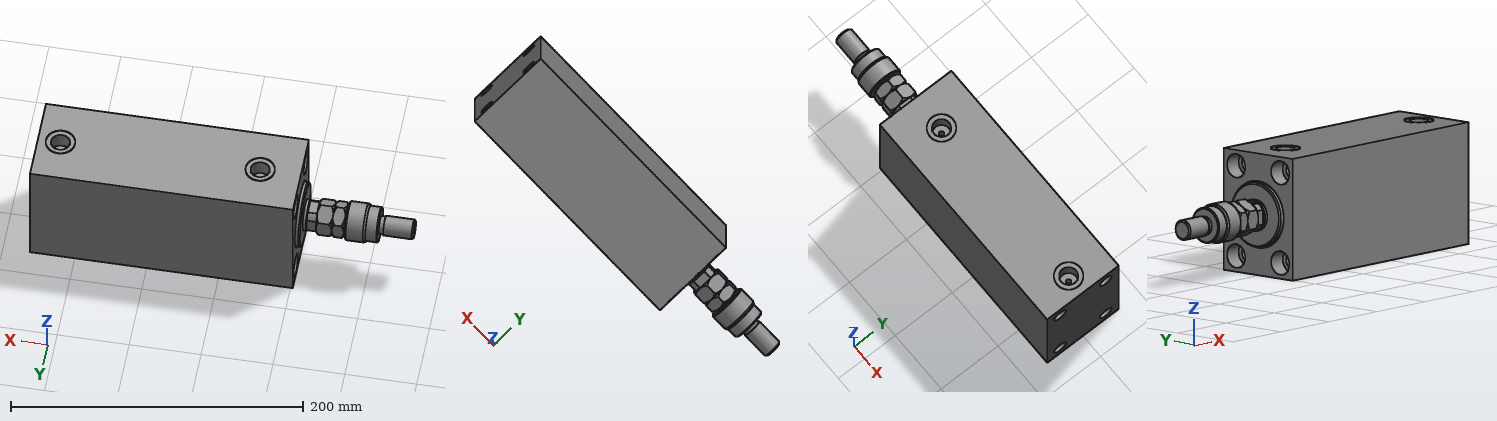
import cadquery as cq
import math


TOTAL_LENGTH = 262.0
BLOCK_FRONT = 79.0
BLOCK_WIDTH = 63.0
BLOCK_HEIGHT = 85.0

BOLT_PITCH_Y = 40.0
BOLT_PITCH_Z = 63.0
BOLT_HOLE_DIAMETER = 10.5
BOLT_HEAD_DIAMETER = 16.5
BOLT_HEAD_DEPTH = 12.0

PORT_FRONT_X = 107.5
PORT_REAR_X = 246.3
PORT_DIAMETER = 13.0
PORT_DEPTH = 12.0
PORT_SEAT_DIAMETER = 20.2
PORT_SEAT_DEPTH = 0.5
PORT_PASSAGE_DIAMETER = 4.0
PORT_PASSAGE_DEPTH = 7.9

GLAND_FRONT = 76.0
GLAND_DIAMETER = 45.0
GLAND_CHAMFER = 1.0
GLAND_SEAT_DEPTH = 7.9
GLAND_SEAT_CHAMFER = 0.8

ROD_DIAMETER = 22.0
ROD_TIP_DIAMETER = 21.0
ROD_SHOULDER = 73.4
ROD_CHAMFER = 0.5
ROD_ACROSS_FLATS = 18.3

HEX_ACROSS_FLATS = 22.0
THREAD_DIAMETER = 14.0
THREAD_GRIP_IN_ROD = 10.5
JOINT_HEX_FRONT = 47.5
JOINT_HEX_THICKNESS = 8.5
LOCK_NUT_THICKNESS = 11.0

STUD_CHAMFER = 1.0
STUD_LENGTH = 20.7
NECK_DIAMETER = 12.5
COLLAR_FRONT = 23.8
COLLAR_DIAMETER = 24.5
COLLAR_CHAMFER = 0.8
CASING_FRONT = 32.2
CASING_BACK = 46.5
CASING_DIAMETER = 27.2
CASING_FRONT_CHAMFER_LENGTH = 1.5
CASING_CHAMFER = 0.8

BLOCK_LENGTH = TOTAL_LENGTH - BLOCK_FRONT
BLOCK_TOP = BLOCK_HEIGHT / 2
GLAND_BACK = BLOCK_FRONT + GLAND_SEAT_DEPTH
LOCK_NUT_FRONT = JOINT_HEX_FRONT + JOINT_HEX_THICKNESS
ROD_FRONT = LOCK_NUT_FRONT + LOCK_NUT_THICKNESS
THREAD_END = ROD_FRONT + THREAD_GRIP_IN_ROD


def cylinder_x(start, end, diameter):
    """Cylinder on the X axis from x = start to x = end."""
    return cq.Workplane("YZ", origin=(start, 0, 0)).circle(diameter / 2).extrude(end - start)


def revolve_x(profile):
    """Solid of revolution about X from a closed profile of (x, radius) points."""
    return cq.Workplane("XY").polyline(profile).close().revolve(360, (0, 0, 0), (1, 0, 0))


def cylinder_down(x, top, depth, diameter):
    """Vertical cylinder at y = 0 that runs down from z = top."""
    return cq.Workplane("XY", origin=(x, 0, top)).circle(diameter / 2).extrude(-depth)


def hexagon_x(start, thickness):
    """Hexagonal prism on the X axis, corners at +Z and -Z, 45 degree cone chamfers at both ends."""
    corner_radius = HEX_ACROSS_FLATS / math.sqrt(3)
    face_radius = HEX_ACROSS_FLATS / 2
    chamfer_length = corner_radius - face_radius
    end = start + thickness
    corners = [
        (corner_radius * math.sin(math.radians(angle)), corner_radius * math.cos(math.radians(angle)))
        for angle in range(0, 360, 60)
    ]
    prism = cq.Workplane("YZ", origin=(start, 0, 0)).polyline(corners).close().extrude(thickness)
    envelope = revolve_x(
        [
            (start, 0),
            (start, face_radius),
            (start + chamfer_length, corner_radius),
            (end - chamfer_length, corner_radius),
            (end, face_radius),
            (end, 0),
        ]
    )
    return prism.intersect(envelope)


def make_block():
    """Housing block with bolt holes, top ports and the gland seat."""
    block = cq.Workplane("XY").box(BLOCK_LENGTH, BLOCK_WIDTH, BLOCK_HEIGHT)
    block = block.translate((BLOCK_FRONT + BLOCK_LENGTH / 2, 0, 0))

    block = (
        block.faces("<X")
        .workplane(origin=(BLOCK_FRONT, 0, 0))
        .rarray(BOLT_PITCH_Y, BOLT_PITCH_Z, 2, 2)
        .cboreHole(BOLT_HOLE_DIAMETER, BOLT_HEAD_DIAMETER, BOLT_HEAD_DEPTH)
    )

    for x in (PORT_FRONT_X, PORT_REAR_X):
        block = block.cut(cylinder_down(x, BLOCK_TOP, PORT_SEAT_DEPTH, PORT_SEAT_DIAMETER))
        block = block.cut(cylinder_down(x, BLOCK_TOP, PORT_DEPTH, PORT_DIAMETER))
        block = block.cut(
            cylinder_down(x, BLOCK_TOP - PORT_DEPTH, PORT_PASSAGE_DEPTH, PORT_PASSAGE_DIAMETER)
        )

    seat = cylinder_x(BLOCK_FRONT, GLAND_BACK, GLAND_DIAMETER)
    seat_radius = GLAND_DIAMETER / 2
    mouth = revolve_x(
        [
            (BLOCK_FRONT, 0),
            (BLOCK_FRONT, seat_radius + GLAND_SEAT_CHAMFER),
            (BLOCK_FRONT + GLAND_SEAT_CHAMFER, seat_radius),
            (BLOCK_FRONT + GLAND_SEAT_CHAMFER, 0),
        ]
    )
    return block.cut(seat).cut(mouth)


def make_gland():
    """Rod guide seated in the block and standing proud of its front face."""
    gland = cylinder_x(GLAND_FRONT, GLAND_BACK, GLAND_DIAMETER).faces("<X").chamfer(GLAND_CHAMFER)
    return gland.cut(cylinder_x(GLAND_FRONT, GLAND_BACK, ROD_DIAMETER))


def make_rod():
    """Piston rod with four wrench flats and a threaded socket at its front end."""
    rod = cylinder_x(ROD_SHOULDER, GLAND_BACK, ROD_DIAMETER).faces("<X").chamfer(ROD_CHAMFER)
    flats_length = ROD_SHOULDER - ROD_FRONT
    square = cq.Workplane("XY").box(flats_length, ROD_ACROSS_FLATS, ROD_ACROSS_FLATS)
    square = square.translate((ROD_FRONT + flats_length / 2, 0, 0))
    flats = cylinder_x(ROD_FRONT, ROD_SHOULDER, ROD_TIP_DIAMETER).intersect(square)
    return rod.union(flats).cut(cylinder_x(ROD_FRONT, THREAD_END, THREAD_DIAMETER))


def make_lock_nut():
    """Hexagon nut clamped between the joint and the rod."""
    nut = hexagon_x(LOCK_NUT_FRONT, LOCK_NUT_THICKNESS)
    return nut.cut(cylinder_x(LOCK_NUT_FRONT, ROD_FRONT, THREAD_DIAMETER))


def make_joint():
    """Joint: front stud, collar, casing, neck, hexagon and the thread that enters the rod."""
    stud = cylinder_x(0, STUD_LENGTH, THREAD_DIAMETER).faces("<X").chamfer(STUD_CHAMFER)
    relief = cylinder_x(STUD_LENGTH, COLLAR_FRONT, NECK_DIAMETER)
    collar = cylinder_x(COLLAR_FRONT, CASING_FRONT, COLLAR_DIAMETER).faces("<X").chamfer(COLLAR_CHAMFER)
    casing_radius = CASING_DIAMETER / 2
    casing = revolve_x(
        [
            (CASING_FRONT, 0),
            (CASING_FRONT, casing_radius - CASING_CHAMFER),
            (CASING_FRONT + CASING_FRONT_CHAMFER_LENGTH, casing_radius),
            (CASING_BACK - CASING_CHAMFER, casing_radius),
            (CASING_BACK, casing_radius - CASING_CHAMFER),
            (CASING_BACK, 0),
        ]
    )
    neck = cylinder_x(CASING_BACK, JOINT_HEX_FRONT, NECK_DIAMETER)
    hexagon = hexagon_x(JOINT_HEX_FRONT, JOINT_HEX_THICKNESS)
    thread = cylinder_x(LOCK_NUT_FRONT, THREAD_END, THREAD_DIAMETER)
    return stud.union(relief).union(collar).union(casing).union(neck).union(hexagon).union(thread)


block = make_block()
gland = make_gland()
rod = make_rod()
lock_nut = make_lock_nut()
joint = make_joint()

result = cq.Compound.makeCompound(
    [block.val(), gland.val(), rod.val(), lock_nut.val(), joint.val()]
)